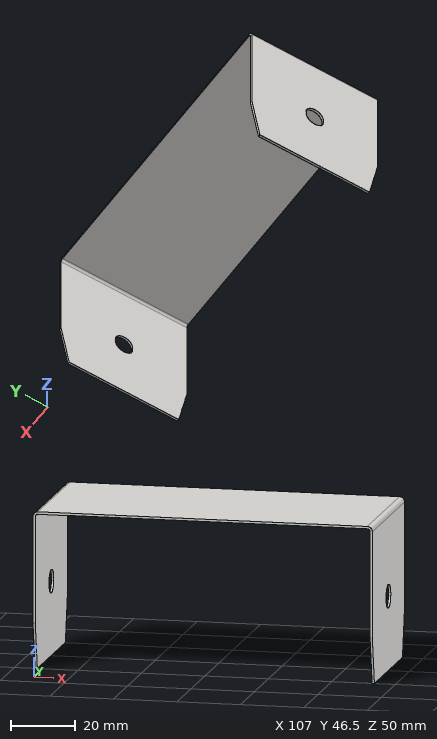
import cadquery as cq

length = 107.0
width = 46.5
height = 50.0

thickness = 0.8
outer_bend_radius = 1.6
inner_bend_radius = outer_bend_radius - thickness

taper_height = 15.0
taper_inset = 3.0

slot_width = 6.3
slot_height = 7.3
slot_depth_below_top = 26.5


def arch(span, top, bend_radius):
    """Solid block standing on Z = 0 with both long top edges rounded."""
    block = cq.Workplane("XY").box(span, width, top, centered=(True, True, False))
    return block.edges("|Y and >Z").fillet(bend_radius)


def flange_outline():
    """Side profile that narrows toward the bottom, swept along the full length."""
    half_width = width / 2
    half_foot = half_width - taper_inset
    return (
        cq.Workplane("YZ")
        .moveTo(-half_foot, 0)
        .lineTo(half_foot, 0)
        .lineTo(half_width, taper_height)
        .lineTo(half_width, height)
        .lineTo(-half_width, height)
        .lineTo(-half_width, taper_height)
        .close()
        .extrude(length / 2, both=True)
    )


def flange_slots():
    """Cutter for the aligned slots in the two flanges."""
    return (
        cq.Workplane("YZ")
        .center(0, height - slot_depth_below_top)
        .slot2D(slot_height, slot_width, 90)
        .extrude(length / 2, both=True)
    )


outer_block = arch(length, height, outer_bend_radius)
inner_space = arch(length - 2 * thickness, height - thickness, inner_bend_radius)
channel = outer_block.cut(inner_space)

result = channel.intersect(flange_outline()).cut(flange_slots())